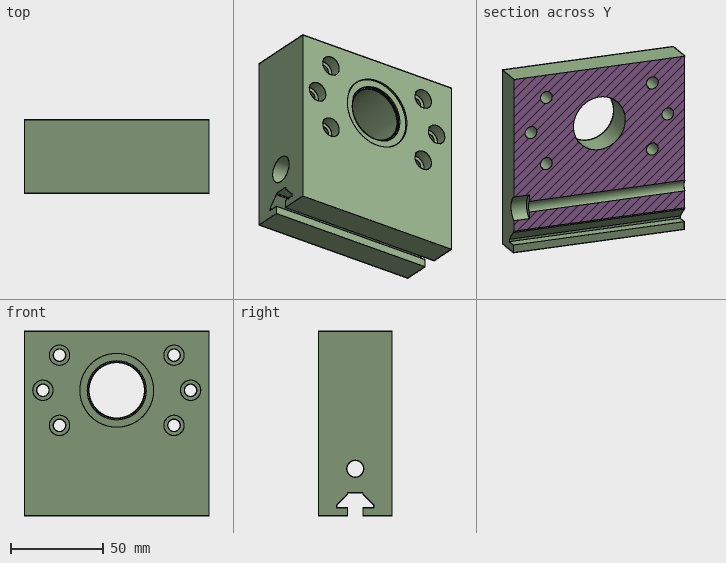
import cadquery as cq

WIDTH = 100.0
THICKNESS = 40.0
HEIGHT = 100.0
FRONT_Y = -THICKNESS / 2
LEFT_X = -WIDTH / 2

BORE_Z = 68.0
BORE_DIAMETER = 30.0
RECESS_DIAMETER = 40.0
RECESS_DEPTH = 1.0
SEAT_DIAMETER = 32.0
SEAT_DEPTH = 1.0
BORE_CHAMFER = 0.3

OUTER_SCREW_X = 40.0
CORNER_SCREW_X = 31.0
CORNER_SCREW_RISE = 19.0
SCREW_DIAMETER = 6.6
SCREW_HEAD_DIAMETER = 11.0
SCREW_HEAD_DEPTH = 6.8

CROSS_Z = 25.5
CROSS_DIAMETER = 9.0
CROSS_HEAD_DIAMETER = 15.0
CROSS_HEAD_DEPTH = 9.0

NECK_HALF_WIDTH = 4.1
CHAMBER_HALF_WIDTH = 10.0
CHAMBER_FLOOR_Z = 4.5
CHAMBER_SIDE_TOP_Z = 5.8
SHOULDER_TOP_Z = CHAMBER_SIDE_TOP_Z + CHAMBER_HALF_WIDTH - NECK_HALF_WIDTH
SLOT_ROOF_Z = 12.5


def front_cylinder(diameter, depth, x, z):
    """Cylinder running from the front face into the block."""
    return cq.Workplane(cq.Solid.makeCylinder(
        diameter / 2, depth, cq.Vector(x, FRONT_Y, z), cq.Vector(0, 1, 0)
    ))


def left_cylinder(diameter, depth):
    """Cylinder running from the left face into the block on the cross hole axis."""
    return cq.Workplane(cq.Solid.makeCylinder(
        diameter / 2, depth, cq.Vector(LEFT_X, 0, CROSS_Z), cq.Vector(1, 0, 0)
    ))


def main_bore():
    bore_radius = BORE_DIAMETER / 2
    seat_bottom = RECESS_DEPTH + SEAT_DEPTH
    chamfer = cq.Workplane(cq.Solid.makeCone(
        bore_radius + BORE_CHAMFER, bore_radius, BORE_CHAMFER,
        cq.Vector(0, FRONT_Y + seat_bottom, BORE_Z), cq.Vector(0, 1, 0)
    ))
    return (
        front_cylinder(BORE_DIAMETER, THICKNESS, 0, BORE_Z)
        .union(front_cylinder(SEAT_DIAMETER, seat_bottom, 0, BORE_Z))
        .union(front_cylinder(RECESS_DIAMETER, RECESS_DEPTH, 0, BORE_Z))
        .union(chamfer)
    )


def screw_hole(x, z):
    return front_cylinder(SCREW_DIAMETER, THICKNESS, x, z).union(
        front_cylinder(SCREW_HEAD_DIAMETER, SCREW_HEAD_DEPTH, x, z)
    )


def cross_hole():
    return left_cylinder(CROSS_DIAMETER, WIDTH).union(
        left_cylinder(CROSS_HEAD_DIAMETER, CROSS_HEAD_DEPTH)
    )


def bottom_slot():
    half_profile = [
        (NECK_HALF_WIDTH, 0),
        (NECK_HALF_WIDTH, CHAMBER_FLOOR_Z),
        (CHAMBER_HALF_WIDTH, CHAMBER_FLOOR_Z),
        (CHAMBER_HALF_WIDTH, CHAMBER_SIDE_TOP_Z),
        (NECK_HALF_WIDTH, SHOULDER_TOP_Z),
        (NECK_HALF_WIDTH, SLOT_ROOF_Z),
    ]
    mirrored = [(-y, z) for y, z in reversed(half_profile)]
    return (
        cq.Workplane("YZ", origin=(LEFT_X, 0, 0))
        .polyline(half_profile + mirrored)
        .close()
        .extrude(WIDTH)
    )


block = cq.Workplane("XY").box(WIDTH, THICKNESS, HEIGHT, centered=(True, True, False))
result = block.cut(main_bore()).cut(cross_hole()).cut(bottom_slot())
for side in (-1, 1):
    result = result.cut(screw_hole(side * OUTER_SCREW_X, BORE_Z))
    for rise in (-CORNER_SCREW_RISE, CORNER_SCREW_RISE):
        result = result.cut(screw_hole(side * CORNER_SCREW_X, BORE_Z + rise))